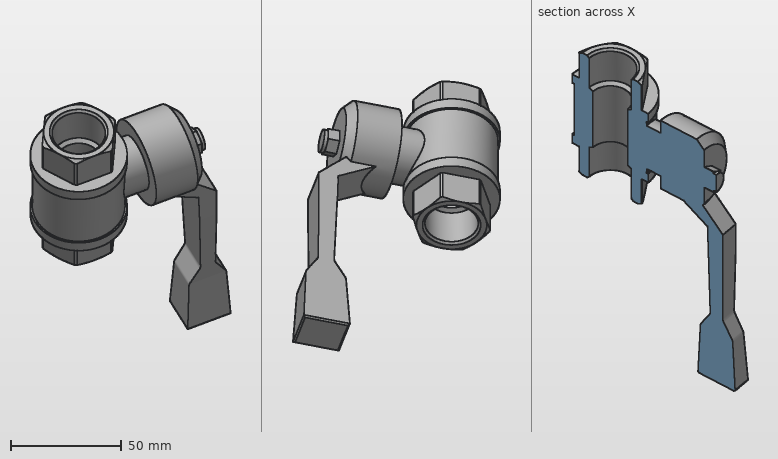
import cadquery as cq

valve_height = 74.0
body_diameter = 42.0
flange_diameter = 44.0
flange_outer_z = 20.9
flange_inner_z = 15.4
hex_flats = 31.9
hex_corner_diameter = 36.1
hex_chamfer_height = 1.1

bore_diameter = 20.0
port_diameter = 24.2
port_mouth_diameter = 26.4
port_depth = 18.8
port_floor_height = 1.3

neck_diameter = 26.4
bonnet_diameter = 41.5
bonnet_start_y = 29.0
bonnet_chamfer_y = 50.0
bonnet_end_y = 54.2
stem_flats = 10.8
stem_tip_diameter = 10.7
stem_hex_end_y = 59.5
stem_end_y = 61.2

lever_bottom_z = valve_height / 2 - 157.0
lever_back_y = 65.0
lever_bend_z = -28.9
taper_start_z = -44.9
grip_neck_z = -80.7
grip_shoulder_z = -90.0
lever_width = 18.7
lever_waist_width = 15.5
lever_fillet = 3.1
grip_end_height = 1.1
grip_chamfer = 0.8
lever_root_z = -13.2
lever_root_front_y = 36.1
lever_root_front_z = -17.3
lever_bend_front_y = 55.9
grip_neck_front_y = 57.5
grip_shoulder_back_y = 70.6
grip_shoulder_front_y = 51.8
grip_end_back_y = 72.0
grip_end_front_y = 50.4


def cylinder_z(diameter, bottom, top):
    return cq.Workplane("XY").workplane(offset=bottom).circle(diameter / 2).extrude(top - bottom)


def cylinder_y(diameter, start, end):
    return cq.Workplane("XZ", origin=(0, start, 0)).circle(diameter / 2).extrude(start - end)


def hexagon(plane, flats):
    """Hexagon sketch with two flats facing along X."""
    return cq.Workplane(plane).polygon(6, flats, circumscribed=True)


def make_hex_ends():
    """Hexagon bar with turned corners and conical chamfers at both ends."""
    half = valve_height / 2
    corner_radius = hex_corner_diameter / 2
    bar = hexagon("XY", hex_flats).extrude(half, both=True)
    turned = (
        cq.Workplane("XZ")
        .moveTo(0, -half)
        .lineTo(hex_flats / 2, -half)
        .lineTo(corner_radius, -half + hex_chamfer_height)
        .lineTo(corner_radius, half - hex_chamfer_height)
        .lineTo(hex_flats / 2, half)
        .lineTo(0, half)
        .close()
        .revolve(360, (0, 0, 0), (0, 1, 0))
    )
    return bar.intersect(turned)


def make_valve_body():
    body = make_hex_ends().union(cylinder_z(body_diameter, -flange_outer_z, flange_outer_z))
    for bottom, top in ((flange_inner_z, flange_outer_z), (-flange_outer_z, -flange_inner_z)):
        body = body.union(cylinder_z(flange_diameter, bottom, top))
    return body


def make_bonnet():
    """Neck and bonnet, with a 45-degree chamfer on the outer end."""
    neck = cylinder_y(neck_diameter, 0, bonnet_start_y)
    bonnet = cylinder_y(bonnet_diameter, bonnet_start_y, bonnet_end_y)
    bonnet = bonnet.faces(">Y").chamfer(bonnet_end_y - bonnet_chamfer_y)
    return neck.union(bonnet)


def make_stem():
    stem_hex = hexagon("XZ", stem_flats).extrude(-stem_hex_end_y)
    return stem_hex.union(cylinder_y(stem_tip_diameter, bonnet_start_y, stem_end_y))


def make_lever():
    """Bent side profile trimmed to the waisted outline seen along Y."""
    side_points = [
        (lever_back_y + lever_bend_z - lever_root_z, lever_root_z),
        (lever_back_y, lever_bend_z),
        (lever_back_y, grip_neck_z),
        (grip_shoulder_back_y, grip_shoulder_z),
        (grip_end_back_y, lever_bottom_z + grip_end_height),
        (grip_end_back_y, lever_bottom_z),
        (grip_end_front_y, lever_bottom_z),
        (grip_end_front_y, lever_bottom_z + grip_end_height),
        (grip_shoulder_front_y, grip_shoulder_z),
        (grip_neck_front_y, grip_neck_z),
        (lever_bend_front_y, lever_bend_z),
        (lever_root_front_y, lever_root_front_z),
        (lever_root_front_y, lever_root_z),
    ]
    side = cq.Workplane("YZ").polyline(side_points).close().extrude(lever_width / 2, both=True)
    kinks = (
        (lever_back_y, grip_neck_z),
        (grip_neck_front_y, grip_neck_z),
        (grip_shoulder_back_y, grip_shoulder_z),
        (grip_shoulder_front_y, grip_shoulder_z),
    )
    for y, z in kinks:
        side = side.edges(cq.selectors.NearestToPointSelector((0, y, z))).fillet(lever_fillet)

    half = lever_width / 2
    waist = lever_waist_width / 2
    right_edge = [
        (half, lever_root_z),
        (half, taper_start_z),
        (waist, grip_shoulder_z),
        (half, lever_bottom_z + grip_end_height),
        (half, lever_bottom_z),
    ]
    left_edge = [(-x, z) for x, z in reversed(right_edge)]
    outline = cq.Workplane("XZ").polyline(right_edge + left_edge).close().extrude(-grip_end_back_y)
    return side.intersect(outline).faces("<Z").chamfer(grip_chamfer)


def make_bore():
    """Through bore with a chamfered, cone-bottomed port at each end."""
    half = valve_height / 2
    bore_radius = bore_diameter / 2
    port_radius = port_diameter / 2
    mouth_radius = port_mouth_diameter / 2
    floor_z = half - port_depth
    upper_half = (
        cq.Workplane("XZ")
        .lineTo(bore_radius, 0)
        .lineTo(bore_radius, floor_z - port_floor_height)
        .lineTo(port_radius, floor_z)
        .lineTo(port_radius, half - (mouth_radius - port_radius))
        .lineTo(mouth_radius, half)
        .lineTo(0, half)
        .close()
        .revolve(360, (0, 0, 0), (0, 1, 0))
    )
    return upper_half.union(upper_half.mirror("XY"))


result = make_valve_body().union(make_bonnet()).union(make_stem()).union(make_lever()).cut(make_bore())